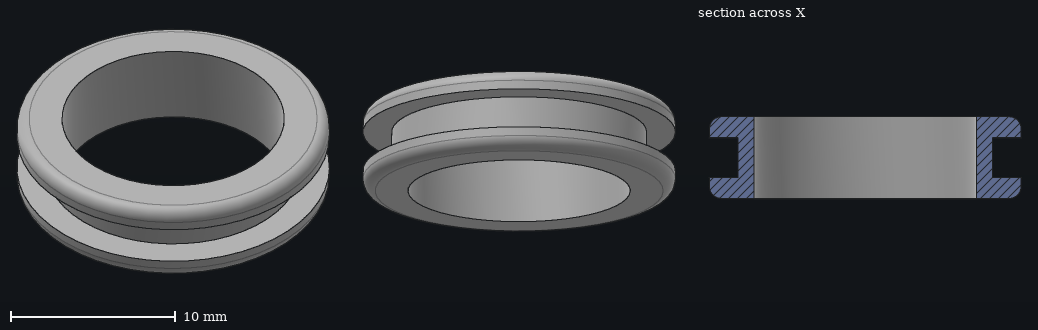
import cadquery as cq

outer_diameter = 19.0
bore_diameter = 13.5
groove_diameter = 15.5
height = 5.0
flange_thickness = 1.3
rim_fillet = 0.75

groove_width = height - 2 * flange_thickness


def make_ring(inner, outer, thickness):
    """Flat ring between two diameters, centred on the XY plane."""
    base = cq.Workplane("XY", origin=(0, 0, -thickness / 2))
    return base.circle(outer / 2).circle(inner / 2).extrude(thickness)


def round_outer_rims(ring):
    """Round the top and bottom edges of the outside wall, leaving the bore edges sharp."""
    largest_radius = cq.selectors.RadiusNthSelector(-1)
    return ring.edges("%CIRCLE").edges(largest_radius).fillet(rim_fillet)


body = round_outer_rims(make_ring(bore_diameter, outer_diameter, height))

groove = make_ring(groove_diameter, outer_diameter, groove_width)

result = body.cut(groove)